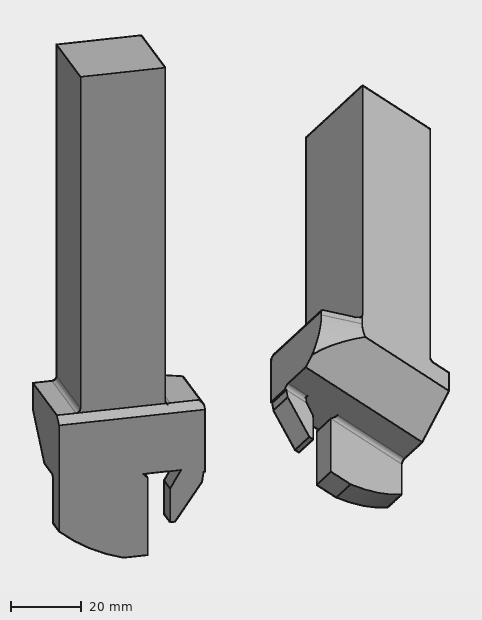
import cadquery as cq
import math

TOTAL_HEIGHT = 148.0
HEAD_WIDTH = 27.2
HEAD_LENGTH = 43.0

SHANK_SIDE = 25.0
SHANK_Y = 7.0
SHANK_BACK = SHANK_Y + SHANK_SIDE
FRONT_ROOT_RADIUS = 1.3
BACK_ROOT_RADIUS = 1.9

HEAD_TOP = 45.0
BACK_TOP = 44.1
HEAD_BOTTOM = 25.0
BEVEL = 11.8
BULGE_DROP = 2.2
BULGE_STEP = 0.9
BACK_CHAMFER = 1.2

BLADE_THICKNESS = 6.4
BLADE_X = HEAD_WIDTH - BLADE_THICKNESS
BLADE_FILLET = 1.3
BLADE_BACK = 26.2
BLADE_FLAT_END = 19.0
BLADE_ARC_MID = (5.8, 5.9)
BLADE_FRONT_Z = 10.2

FINGER_TIP_Z = 9.3
FINGER_INNER_Y = 32.7
FINGER_TIP_Y = 34.2
FINGER_ROOT_Y = 36.0
FINGER_SHOULDER_Z = 19.7
FINGER_OUTER_Y = 42.6
FINGER_BEND = (42.2, 20.7)

RELIEF_START_Y = 32.1
RELIEF_BACK_X = 4.9
RELIEF_TANGENT_Z = 41.9
RELIEF_RADIUS = 28.1
RELIEF_ANGLE = math.atan2(HEAD_LENGTH - RELIEF_START_Y, RELIEF_BACK_X)
RELIEF_LENGTH = 2 * HEAD_LENGTH
RELIEF_DEPTH = 14.8


def make_shank():
    height = TOTAL_HEIGHT - HEAD_BOTTOM - BEVEL
    shank = cq.Workplane().box(SHANK_SIDE, SHANK_SIDE, height, centered=False)
    return shank.translate((0, SHANK_Y, TOTAL_HEIGHT - height))


def make_head():
    """Head and blade section in XZ, extruded over the whole length in Y."""
    bulge_x = SHANK_SIDE + BULGE_STEP
    bulge_z = HEAD_TOP - BULGE_STEP
    bend = BLADE_FILLET * (1 - math.sqrt(0.5))
    return (
        cq.Workplane("XZ")
        .moveTo(0, HEAD_TOP)
        .lineTo(SHANK_SIDE, HEAD_TOP)
        .lineTo(bulge_x, bulge_z)
        .lineTo(HEAD_WIDTH, HEAD_TOP - BULGE_DROP)
        .lineTo(HEAD_WIDTH, 0)
        .lineTo(BLADE_X, 0)
        .lineTo(BLADE_X, HEAD_BOTTOM - BLADE_FILLET)
        .threePointArc(
            (BLADE_X - bend, HEAD_BOTTOM - bend),
            (BLADE_X - BLADE_FILLET, HEAD_BOTTOM),
        )
        .lineTo(BEVEL, HEAD_BOTTOM)
        .lineTo(0, HEAD_BOTTOM + BEVEL)
        .close()
        .extrude(-HEAD_LENGTH)
    )


def make_side_outline():
    """YZ outline of the head, blade and finger, extruded across X."""
    return (
        cq.Workplane("YZ")
        .moveTo(0, HEAD_TOP)
        .lineTo(0, BLADE_FRONT_Z)
        .threePointArc(BLADE_ARC_MID, (BLADE_FLAT_END, 0))
        .lineTo(BLADE_BACK, 0)
        .lineTo(BLADE_BACK, HEAD_BOTTOM - BLADE_FILLET)
        .lineTo(BLADE_BACK - BLADE_FILLET, HEAD_BOTTOM)
        .lineTo(FINGER_ROOT_Y, HEAD_BOTTOM)
        .lineTo(FINGER_INNER_Y, FINGER_SHOULDER_Z)
        .lineTo(FINGER_INNER_Y, FINGER_TIP_Z)
        .lineTo(FINGER_TIP_Y, FINGER_TIP_Z)
        .lineTo(*FINGER_BEND)
        .lineTo(FINGER_OUTER_Y, HEAD_BOTTOM - BLADE_FILLET)
        .lineTo(HEAD_LENGTH, HEAD_BOTTOM - BLADE_FILLET)
        .lineTo(HEAD_LENGTH, HEAD_TOP - BACK_CHAMFER)
        .lineTo(HEAD_LENGTH - BACK_CHAMFER, HEAD_TOP)
        .close()
        .extrude(HEAD_WIDTH)
    )


def make_corner_relief():
    """Cutter swept along the slanted wall; its section is in depth and Z."""
    along = (math.cos(RELIEF_ANGLE), math.sin(RELIEF_ANGLE), 0)
    inward = (math.sin(RELIEF_ANGLE), -math.cos(RELIEF_ANGLE), 0)
    drop = RELIEF_TANGENT_Z - HEAD_BOTTOM + BLADE_FILLET

    def inset(depth_below):
        return RELIEF_RADIUS - math.sqrt(RELIEF_RADIUS**2 - depth_below**2)

    plane = cq.Plane(origin=(0, RELIEF_START_Y, RELIEF_TANGENT_Z), xDir=inward, normal=along)
    return (
        cq.Workplane(plane)
        .moveTo(-RELIEF_DEPTH, RELIEF_TANGENT_Z - HEAD_TOP)
        .lineTo(0, RELIEF_TANGENT_Z - HEAD_TOP)
        .lineTo(0, 0)
        .threePointArc((inset(drop / 2), drop / 2), (inset(drop), drop))
        .lineTo(-RELIEF_DEPTH, drop)
        .close()
        .extrude(RELIEF_LENGTH / 2, both=True)
    )


def make_root_fillet(wall_y, outward, base_z, radius):
    """Concave fillet along X between a shank wall and a ledge of the head."""
    bend = radius * (1 - math.sqrt(0.5))
    return (
        cq.Workplane("YZ")
        .moveTo(wall_y, base_z)
        .lineTo(wall_y + outward * radius, base_z)
        .threePointArc((wall_y + outward * bend, base_z + bend), (wall_y, base_z + radius))
        .close()
        .extrude(SHANK_SIDE)
    )


def make_back_ledge_cut():
    """Lowers the head behind the shank, leaving a thin ridge on the +X side."""
    size = (SHANK_SIDE, HEAD_LENGTH - SHANK_BACK, HEAD_TOP - BACK_TOP)
    return cq.Workplane().box(*size, centered=False).translate((0, SHANK_BACK, BACK_TOP))


def make_back_root_fillet():
    """Fillet behind the shank, trimmed to the slanted wall."""
    trim = (
        cq.Workplane("XY")
        .workplane(offset=BACK_TOP)
        .moveTo(0, RELIEF_START_Y)
        .lineTo(RELIEF_BACK_X, HEAD_LENGTH)
        .lineTo(0, HEAD_LENGTH)
        .close()
        .extrude(BACK_ROOT_RADIUS)
    )
    return make_root_fillet(SHANK_BACK, 1, BACK_TOP, BACK_ROOT_RADIUS).cut(trim)


def make_holder():
    head = make_head().intersect(make_side_outline()).cut(make_back_ledge_cut())
    holder = head.union(make_shank()).cut(make_corner_relief())
    front_fillet = make_root_fillet(SHANK_Y, -1, HEAD_TOP, FRONT_ROOT_RADIUS)
    return holder.union(front_fillet).union(make_back_root_fillet())


holder = make_holder()

result = cq.Compound.makeCompound([holder.val()])